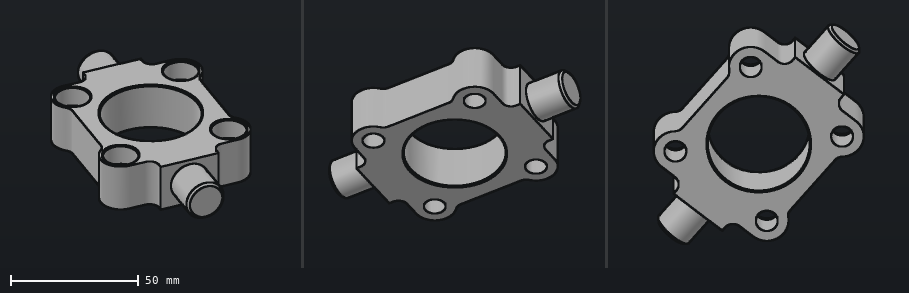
import cadquery as cq
import math

total_length = 107.0
thickness = 20.0

hub_half_length = 37.6
hub_half_width = 12.4
side_half_width = 27.5
bolt_offset = 23.2
lug_radius = 8.6
corner_fillet = 4.0
lug_half_length = bolt_offset + lug_radius

pin_radius = 8.0
pin_chamfer = 1.1

bore_radius = 20.0
bore_chamfer = 0.5

bolt_radius = 4.3
counterbore_radius = 7.0
counterbore_depth = 8.6
counterbore_chamfer = 0.4

bolt_points = [(x, y) for x in (-bolt_offset, bolt_offset) for y in (-bolt_offset, bolt_offset)]


def block(half_length, half_width):
    """Full-thickness rectangular block centred on the origin."""
    return cq.Workplane("XY").box(2 * half_length, 2 * half_width, thickness)


def lug_fillet_web(x_sign, y_sign):
    """Concave web blending a round lug into the straight long side."""
    blend_y = side_half_width + corner_fillet
    centre_distance = lug_radius + corner_fillet
    blend_dx = math.sqrt(centre_distance**2 - (blend_y - bolt_offset) ** 2)
    blend_x = bolt_offset - blend_dx
    lug_share = lug_radius / centre_distance
    lug_touch_x = bolt_offset - blend_dx * lug_share
    lug_touch_y = bolt_offset + (blend_y - bolt_offset) * lug_share
    touch_angle = math.atan2(lug_touch_y - blend_y, lug_touch_x - blend_x)
    middle_angle = (touch_angle - math.pi / 2) / 2
    middle_x = blend_x + corner_fillet * math.cos(middle_angle)
    middle_y = blend_y + corner_fillet * math.sin(middle_angle)
    return (
        cq.Workplane("XY", origin=(0, 0, -thickness / 2))
        .moveTo(x_sign * blend_x, y_sign * side_half_width)
        .threePointArc(
            (x_sign * middle_x, y_sign * middle_y),
            (x_sign * lug_touch_x, y_sign * lug_touch_y),
        )
        .lineTo(x_sign * bolt_offset, y_sign * bolt_offset)
        .lineTo(x_sign * blend_x, y_sign * bolt_offset)
        .close()
        .extrude(thickness)
    )


def make_body():
    """Cross-shaped plate with four round lugs and blended inner corners."""
    cross = block(lug_half_length, bolt_offset).union(block(hub_half_length, hub_half_width))
    margin = corner_fillet / 2
    inner_corners = cq.selectors.BoxSelector(
        (-lug_half_length - margin, -hub_half_width - margin, -thickness),
        (lug_half_length + margin, hub_half_width + margin, thickness),
    )
    body = cross.edges("|Z").edges(inner_corners).fillet(corner_fillet)
    body = body.union(block(bolt_offset, side_half_width))
    lugs = (
        cq.Workplane("XY", origin=(0, 0, -thickness / 2))
        .pushPoints(bolt_points)
        .circle(lug_radius)
        .extrude(thickness)
    )
    body = body.union(lugs)
    for x_sign in (-1, 1):
        for y_sign in (-1, 1):
            body = body.union(lug_fillet_web(x_sign, y_sign))
    return body


def make_pins():
    """One chamfered bar along X that forms both trunnion pins."""
    return (
        cq.Workplane("YZ", origin=(-total_length / 2, 0, 0))
        .circle(pin_radius)
        .extrude(total_length)
        .faces("<X or >X")
        .chamfer(pin_chamfer)
    )


def chamfered_cutter(radius, depth, chamfer):
    """Cylinder sunk from the top face, flared at its mouth by the chamfer."""
    top = thickness / 2
    return (
        cq.Workplane("XZ")
        .moveTo(0, top)
        .lineTo(radius + chamfer, top)
        .lineTo(radius, top - chamfer)
        .lineTo(radius, top - depth)
        .lineTo(0, top - depth)
        .close()
        .revolve(360, (0, 0, 0), (0, 1, 0))
    )


def make_bolt_hole():
    """Through hole with a chamfered counterbore."""
    through_hole = cq.Workplane("XY").circle(bolt_radius).extrude(thickness, both=True)
    counterbore = chamfered_cutter(counterbore_radius, counterbore_depth, counterbore_chamfer)
    return counterbore.union(through_hole)


result = make_body().union(make_pins())
bore = chamfered_cutter(bore_radius, thickness, bore_chamfer)
result = result.cut(bore).cut(bore.mirror("XY"))

bolt_hole = make_bolt_hole()
for x, y in bolt_points:
    result = result.cut(bolt_hole.translate((x, y, 0)))